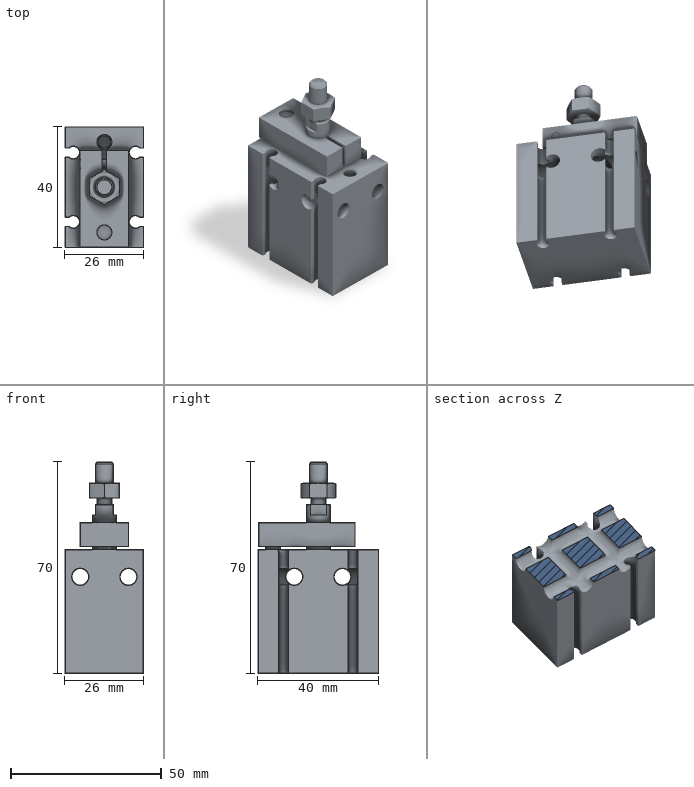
import cadquery as cq
import math


HOUSING_X = 26.0
HOUSING_Y = 40.0
HOUSING_Z = 41.0
EDGE_CHAMFER = 0.15

MOUNT_HOLE_D = 5.5
MOUNT_HOLE_OFFSET = 8.0
MOUNT_HOLE_Z = 32.0

GROOVE_D = 4.1
GROOVE_MOUTH = 3.0
GROOVE_X = 10.3
GROOVE_Y = 11.5

ROD_SPACING = 15.0

PORT_D = 4.1
PORT_MOUTH_D = 5.0
PORT_DEPTH = 5.0

PLATE_X = 16.0
PLATE_Y = 32.0
PLATE_Z = 8.0
PLATE_FRONT_Y = -19.8
PLATE_GAP = 1.0
PLATE_BOTTOM = HOUSING_Z + PLATE_GAP
PLATE_TOP = PLATE_BOTTOM + PLATE_Z
SLOT_WIDTH = 1.5

SCREW_D = 3.0
SCREW_CHAMFER = 0.3
SCREW_Y = 7.7
SCREW_Z = PLATE_BOTTOM + PLATE_Z / 2

ROD_D = 8.0
ROD_SHOULDER_Z = 56.0
ROD_SHOULDER_CHAMFER = 0.2
FLATS_WIDTH = 6.0
FLATS_BOTTOM_Z = 52.5
NECK_D = 5.0
THREAD_D = 6.0
THREAD_TIP_D = 5.0
THREAD_CHAMFER_LENGTH = 0.7
ROD_TOP = 70.0

NUT_SIDES = 6
NUT_ACROSS_FLATS = 10.0
NUT_FACE_D = 9.95
NUT_BOTTOM = 58.0
NUT_HEIGHT = 5.0
NUT_CHAMFER_ANGLE = 15.0

GUIDE_D = 5.0
GUIDE_RECESS = 1.0


def rod(diameter, bottom, top, y=0.0):
    """Vertical cylinder between two heights."""
    return cq.Workplane("XY", origin=(0, y, bottom)).circle(diameter / 2).extrude(top - bottom)


def sensor_groove(side_x, side_y):
    """Full-height keyhole groove that opens on one X face of the housing."""
    channel = cq.Workplane("XY").center(side_x * GROOVE_X, side_y * GROOVE_Y)
    channel = channel.circle(GROOVE_D / 2).extrude(HOUSING_Z)
    mouth_length = HOUSING_X / 2 - GROOVE_X
    mouth_x = side_x * (GROOVE_X + mouth_length / 2)
    mouth = cq.Workplane("XY").center(mouth_x, side_y * GROOVE_Y)
    mouth = mouth.rect(mouth_length, GROOVE_MOUTH).extrude(HOUSING_Z)
    return channel.union(mouth)


def mounting_holes(plane, length):
    """Pair of bores through the housing, normal to a vertical plane."""
    pair = [(-MOUNT_HOLE_OFFSET, MOUNT_HOLE_Z), (MOUNT_HOLE_OFFSET, MOUNT_HOLE_Z)]
    face = cq.Workplane(plane).workplane(offset=-length / 2)
    return face.pushPoints(pair).circle(MOUNT_HOLE_D / 2).extrude(length)


def port():
    """Blind hole with a countersunk mouth in the housing top."""
    bore_r = PORT_D / 2
    mouth_r = PORT_MOUTH_D / 2
    countersink = mouth_r - bore_r
    hole = rod(PORT_D, HOUSING_Z - PORT_DEPTH, HOUSING_Z, ROD_SPACING)
    top = cq.Vector(0, ROD_SPACING, HOUSING_Z)
    mouth = cq.Solid.makeCone(mouth_r, bore_r, countersink, top, cq.Vector(0, 0, -1))
    return hole.union(cq.Workplane(obj=mouth))


def make_housing():
    """Grooved block with lightly chamfered side edges, mounting holes and a port."""
    body = cq.Workplane("XY").box(HOUSING_X, HOUSING_Y, HOUSING_Z, centered=(True, True, False))
    for side_x in (-1, 1):
        for side_y in (-1, 1):
            body = body.cut(sensor_groove(side_x, side_y))
    body = body.faces("<X or >X").edges("|Z").chamfer(EDGE_CHAMFER)
    body = body.cut(mounting_holes("XZ", HOUSING_Y))
    body = body.cut(mounting_holes("YZ", HOUSING_X))
    return body.cut(port())


def screw_blank():
    """Plain cylinder of the clamp screw, as long as the plate is wide."""
    start = cq.Workplane("YZ", origin=(-PLATE_X / 2, SCREW_Y, SCREW_Z))
    return start.circle(SCREW_D / 2).extrude(PLATE_X)


def clamp_plate():
    """Plate with guide rod and clamp screw holes, slotted from its rear face to the piston rod."""
    base_center = (0, PLATE_FRONT_Y + PLATE_Y / 2, PLATE_BOTTOM)
    plate = cq.Workplane("XY", origin=base_center).rect(PLATE_X, PLATE_Y).extrude(PLATE_Z)
    slot_length = PLATE_FRONT_Y + PLATE_Y
    slot = cq.Workplane("XY", origin=(0, slot_length / 2, PLATE_BOTTOM))
    slot = slot.rect(SLOT_WIDTH, slot_length).extrude(PLATE_Z)
    guide_hole = rod(GUIDE_D, PLATE_BOTTOM, PLATE_TOP, -ROD_SPACING)
    return plate.cut(slot).cut(guide_hole).cut(screw_blank())


def clamp_screw():
    """Clamp screw with a chamfered end on the -X side."""
    return screw_blank().faces("<X").chamfer(SCREW_CHAMFER)


def piston_rod():
    """Rod with wrench flats, a neck and a chamfered threaded end."""
    shank = rod(ROD_D, HOUSING_Z, ROD_SHOULDER_Z).faces(">Z").chamfer(ROD_SHOULDER_CHAMFER)
    flats_height = ROD_SHOULDER_Z - FLATS_BOTTOM_Z
    flats = cq.Workplane("XY", origin=(0, 0, FLATS_BOTTOM_Z)).rect(FLATS_WIDTH, ROD_D).extrude(flats_height)
    shank = shank.cut(rod(ROD_D, FLATS_BOTTOM_Z, ROD_SHOULDER_Z).cut(flats))
    neck = rod(NECK_D, ROD_SHOULDER_Z, NUT_BOTTOM)
    tip_chamfer = (THREAD_D - THREAD_TIP_D) / 2
    thread = rod(THREAD_D, NUT_BOTTOM, ROD_TOP).faces(">Z").chamfer(THREAD_CHAMFER_LENGTH, tip_chamfer)
    return shank.union(neck).union(thread)


def lock_nut():
    """Hexagon with flats facing +X and -X and both ends turned to a shallow cone."""
    half_side_angle = 180 / NUT_SIDES
    corner_d = NUT_ACROSS_FLATS / math.cos(math.radians(half_side_angle))
    corner_r = corner_d / 2
    face_r = NUT_FACE_D / 2
    cone_height = (corner_r - face_r) * math.tan(math.radians(NUT_CHAMFER_ANGLE))
    hexagon = cq.Workplane("XY").polygon(NUT_SIDES, corner_d).extrude(NUT_HEIGHT)
    hexagon = hexagon.rotate((0, 0, 0), (0, 0, 1), half_side_angle)
    turned = (
        cq.Workplane("XZ")
        .moveTo(0, 0)
        .lineTo(face_r, 0)
        .lineTo(corner_r, cone_height)
        .lineTo(corner_r, NUT_HEIGHT - cone_height)
        .lineTo(face_r, NUT_HEIGHT)
        .lineTo(0, NUT_HEIGHT)
        .close()
        .revolve(360, (0, 0, 0), (0, 1, 0))
    )
    return hexagon.intersect(turned).translate((0, 0, NUT_BOTTOM))


def guide_rod():
    """Rod that ends a little below the plate top."""
    return rod(GUIDE_D, HOUSING_Z, PLATE_TOP - GUIDE_RECESS, -ROD_SPACING)


def make_rod_unit():
    """Clamp plate joined with its screw, the piston rod, the lock nut and the guide rod."""
    unit = clamp_plate()
    for piece in (clamp_screw(), piston_rod(), lock_nut(), guide_rod()):
        unit = unit.union(piece)
    return unit


housing = make_housing()
rod_unit = make_rod_unit()
result = cq.Compound.makeCompound([housing.val(), rod_unit.val()])